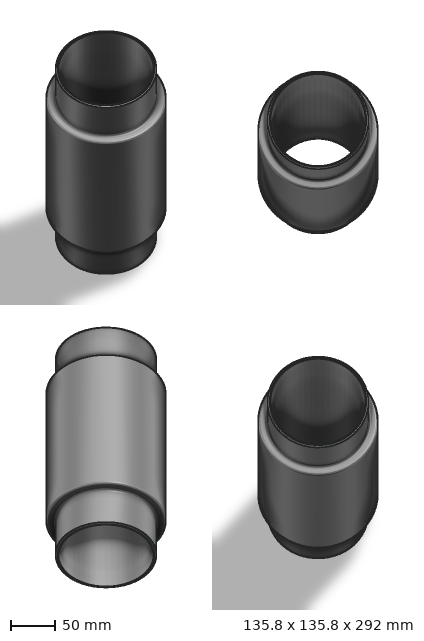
import cadquery as cq

total_length = 292.0
body_diameter = 135.8
neck_diameter = 114.2
bore_diameter = 107.5

neck_length = 50.0
body_edge_radius = 3.0
neck_root_radius = 3.2
bevel_width = 2.3
bevel_height = 1.2

body_radius = body_diameter / 2
neck_radius = neck_diameter / 2
bore_radius = bore_diameter / 2
body_length = total_length - 2 * neck_length


def cylinder(radius, length):
    """Cylinder on the Z axis, centred on the origin."""
    return cq.Workplane("XY").cylinder(length, radius)


def beveled_pipe():
    """Full-length pipe blank that forms both necks, beveled at its two ends."""
    half_length = total_length / 2
    rim_radius = neck_radius - bevel_width
    bevel_start = half_length - bevel_height
    section = cq.Workplane("XZ").polyline([
        (0, -half_length),
        (rim_radius, -half_length),
        (neck_radius, -bevel_start),
        (neck_radius, bevel_start),
        (rim_radius, half_length),
        (0, half_length),
    ]).close()
    return section.revolve(360, (0, 0, 0), (0, 1, 0))


def rounded_body():
    """Thick middle sleeve with rounded outer edges."""
    return cylinder(body_radius, body_length).faces("|Z").edges().fillet(body_edge_radius)


def root_edges():
    """Selects the circles where the two necks meet the flat ends of the body."""
    margin = neck_root_radius / 2
    reach = neck_radius + margin
    half_height = body_length / 2 + margin
    return cq.selectors.BoxSelector(
        (-reach, -reach, -half_height), (reach, reach, half_height), boundingbox=True
    )


blank = rounded_body().union(beveled_pipe())
blank = blank.edges(root_edges()).edges("%CIRCLE").fillet(neck_root_radius)
result = blank.cut(cylinder(bore_radius, total_length))